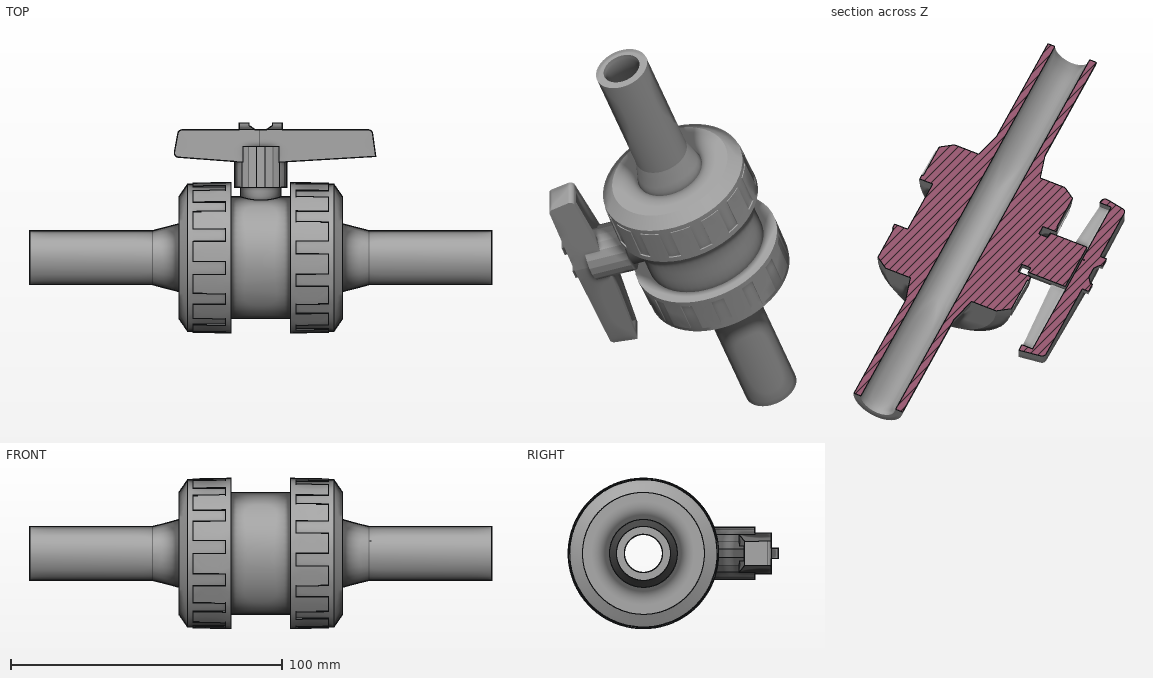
import cadquery as cq

total_length = 170.5
pipe_diameter = 20.0
bore_diameter = 14.0

body_diameter = 45.0
nut_inner_x = 10.9
nut_outer_x = 30.2
nut_base_diameter = 54.4
nut_rim_diameter = 55.5
nut_tile_diameter = 55.0
nut_face_diameter = 45.0
nut_chamfer_length = 3.2

grip_length = 14.2
rim_length = 2.0
notch_count = 14
notch_width = 4.8
notch_offset_angle = 8.0

shoulder_diameter = 25.0
shoulder_length = 9.7

stem_diameter = 15.0
hub_diameter = 19.6
hub_facets = 20
hub_bottom_y = 26.0
hub_top_y = 41.1

handle_top_y = 47.2
handle_center_x = -0.5
handle_center_bottom_y = 34.8
handle_left_bottom_y = 37.2
handle_right_bottom_y = 37.3
handle_left_x = -32.2
handle_right_x = 42.5
handle_left_slant = 1.9
handle_right_slant = 1.4
handle_corner_radius = 1.7
handle_center_width = 15.2
handle_left_width = 10.9
handle_right_width = 8.9

pocket_width = 5.5
pocket_end_wall = 2.9
pocket_floor_y = 41.6

lug_top_y = 49.8
lug_half_span = 8.0
lug_width = 4.0
lug_lip = 1.0
lug_gap_top = 4.3
lug_gap_bottom = 2.0


def x_cylinder(diameter, x_start, x_end):
    return cq.Workplane("YZ", origin=(x_start, 0, 0)).circle(diameter / 2).extrude(x_end - x_start)


def make_flow_core():
    """Pipes, tapered shoulders and valve body, revolved about X."""
    half_length = total_length / 2
    shoulder_end_x = nut_outer_x + shoulder_length
    return (
        cq.Workplane("XY")
        .moveTo(-half_length, 0)
        .lineTo(-half_length, pipe_diameter / 2)
        .lineTo(-shoulder_end_x, pipe_diameter / 2)
        .lineTo(-nut_outer_x, shoulder_diameter / 2)
        .lineTo(-nut_inner_x, shoulder_diameter / 2)
        .lineTo(-nut_inner_x, body_diameter / 2)
        .lineTo(nut_inner_x, body_diameter / 2)
        .lineTo(nut_inner_x, shoulder_diameter / 2)
        .lineTo(nut_outer_x, shoulder_diameter / 2)
        .lineTo(shoulder_end_x, pipe_diameter / 2)
        .lineTo(half_length, pipe_diameter / 2)
        .lineTo(half_length, 0)
        .close()
        .revolve(360, (0, 0, 0), (1, 0, 0))
    )


def make_nut():
    """Union nut on the -X side, chamfered toward the pipe."""
    chamfer_x = -nut_outer_x + nut_chamfer_length
    base = (
        cq.Workplane("XY")
        .moveTo(-nut_outer_x, 0)
        .lineTo(-nut_outer_x, nut_face_diameter / 2)
        .lineTo(chamfer_x, nut_base_diameter / 2)
        .lineTo(-nut_inner_x, nut_base_diameter / 2)
        .lineTo(-nut_inner_x, 0)
        .close()
        .revolve(360, (0, 0, 0), (1, 0, 0))
    )
    grip_start_x = -nut_inner_x - grip_length
    grip = (
        cq.Workplane("XY")
        .moveTo(grip_start_x, 0)
        .lineTo(grip_start_x, nut_tile_diameter / 2)
        .lineTo(-nut_inner_x, nut_rim_diameter / 2)
        .lineTo(-nut_inner_x, 0)
        .close()
        .revolve(360, (0, 0, 0), (1, 0, 0))
    )
    notch_length = grip_length - rim_length
    notch = cq.Workplane("XY").box(
        notch_length, notch_width, nut_rim_diameter / 2, centered=(False, True, False)
    ).translate((grip_start_x, 0, 0))
    for index in range(notch_count):
        angle = notch_offset_angle + index * 360 / notch_count
        grip = grip.cut(notch.rotate((0, 0, 0), (1, 0, 0), angle))
    return base.union(grip)


def make_stem_and_hub():
    """Round stem from the valve axis to the top of the hub, with the faceted hub around it."""
    stem = cq.Workplane("XZ").circle(stem_diameter / 2).extrude(-hub_top_y)
    half_facet_angle = 180 / hub_facets
    hub = (
        cq.Workplane("XZ", origin=(0, hub_bottom_y, 0))
        .polygon(hub_facets, hub_diameter)
        .extrude(hub_bottom_y - hub_top_y)
        .rotate((0, 0, 0), (0, 1, 0), half_facet_angle)
    )
    return stem.union(hub)


def make_handle():
    """Handle with slanted ends, tapering in width away from the hub and hollowed from below."""
    side_profile = (
        cq.Workplane("XY", origin=(0, 0, -handle_center_width / 2))
        .moveTo(handle_left_x, handle_left_bottom_y)
        .lineTo(handle_center_x, handle_center_bottom_y)
        .lineTo(handle_right_x, handle_right_bottom_y)
        .lineTo(handle_right_x - handle_right_slant, handle_top_y)
        .lineTo(handle_left_x + handle_left_slant, handle_top_y)
        .close()
        .extrude(handle_center_width)
    )
    rounded = side_profile.edges("|Z").edges("<X or >Y").fillet(handle_corner_radius)
    center_half = handle_center_width / 2
    left_half = handle_left_width / 2
    right_half = handle_right_width / 2
    plan = (
        cq.Workplane("XZ")
        .polyline([
            (handle_left_x, -left_half),
            (handle_center_x, -center_half),
            (handle_right_x, -right_half),
            (handle_right_x, right_half),
            (handle_center_x, center_half),
            (handle_left_x, left_half),
        ])
        .close()
        .extrude(-handle_top_y)
    )
    pocket_start_x = handle_left_x + pocket_end_wall
    pocket_end_x = handle_right_x - pocket_end_wall
    pocket = cq.Workplane("XY").box(
        pocket_end_x - pocket_start_x, pocket_floor_y, pocket_width,
        centered=(False, False, True),
    ).translate((pocket_start_x, 0, 0))
    return rounded.intersect(plan).cut(pocket)


def make_lugs():
    """Pair of mirrored lugs, each sloping down to the notch between them."""
    lug = (
        cq.Workplane("XY", origin=(0, 0, -lug_width / 2))
        .moveTo(lug_half_span, handle_top_y)
        .lineTo(lug_half_span, lug_top_y)
        .lineTo(lug_gap_top, lug_top_y)
        .lineTo(lug_gap_top, lug_top_y - lug_lip)
        .lineTo(lug_gap_bottom, handle_top_y)
        .close()
        .extrude(lug_width)
    )
    return lug.union(lug.mirror("YZ"))


left_nut = make_nut()
right_nut = left_nut.rotate((0, 0, 0), (0, 0, 1), 180)
bore = x_cylinder(bore_diameter, -total_length / 2, total_length / 2)

result = (
    make_flow_core()
    .union(left_nut)
    .union(right_nut)
    .union(make_handle())
    .union(make_stem_and_hub())
    .union(make_lugs())
    .cut(bore)
)